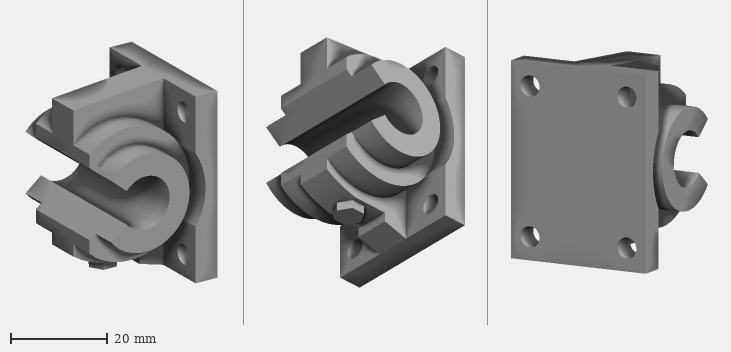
import cadquery as cq
import math

width = 32.0
depth = 28.0
height = 42.0
plate_thickness = 5.5
bore_to_back = 18.0

bore_radius = 6.0
tube_radius = 11.0
collar_radius = 15.0
collar_width = 20.0
mouth_half_angle = 39.0

rib_width = 8.0
rib_top_drop = 2.0
nose_radius = 23.1
nose_start_y = -1.75
nose_end_z = -13.9
seat_back_offset = 11.5
seat_back_rise = 1.6
seat_rise = 3.75

nut_across_corners = 6.65
nut_thickness = 1.97

hole_diameter = 4.5
hole_side_inset = 4.5
hole_end_inset = 5.0

back_y = bore_to_back
plate_front_y = back_y - plate_thickness
front_y = back_y - depth
top_z = height / 2
bottom_z = -height / 2
seat_z = bottom_z + seat_rise


def cylinder_along_x(radius, length):
    return cq.Workplane("YZ").circle(radius).extrude(length / 2, both=True)


def make_plate():
    """Mounting plate with corner holes, relieved beside the collar."""
    plate = cq.Workplane("XY").box(width, plate_thickness, height)
    plate = plate.translate((0, back_y - plate_thickness / 2, 0))
    holes = (
        cq.Workplane("XZ", origin=(0, back_y, 0))
        .rarray(width - 2 * hole_side_inset, height - 2 * hole_end_inset, 2, 2)
        .circle(hole_diameter / 2)
        .extrude(plate_thickness)
    )
    return plate.cut(holes).cut(cylinder_along_x(collar_radius, width))


def make_rib():
    """Central rib: sloping top, rounded lower nose and a flat nut seat."""
    seat_back_y = back_y - seat_back_offset
    return (
        cq.Workplane("YZ")
        .moveTo(plate_front_y, top_z)
        .lineTo(front_y, top_z - rib_top_drop)
        .lineTo(front_y, nose_end_z)
        .radiusArc((nose_start_y, seat_z), -nose_radius)
        .lineTo(seat_back_y, seat_z)
        .lineTo(seat_back_y, bottom_z + seat_back_rise)
        .lineTo(plate_front_y, bottom_z)
        .close()
        .extrude(rib_width / 2, both=True)
    )


def make_nut():
    """Hexagonal nut under the seat, with two corners in line with Y."""
    return (
        cq.Workplane("XY", origin=(0, 0, seat_z))
        .transformed(rotate=(0, 0, 90))
        .polygon(6, nut_across_corners)
        .extrude(-nut_thickness)
    )


def make_mouth():
    """Wedge opening from the bore axis through the front of the clip."""
    reach = depth
    half_opening = reach * math.tan(math.radians(mouth_half_angle))
    return (
        cq.Workplane("YZ")
        .polyline([(0, 0), (-reach, half_opening), (-reach, -half_opening)])
        .close()
        .extrude(width / 2, both=True)
    )


front_trim = cq.Workplane("XY").box(width, depth, height).translate((0, front_y - depth / 2, 0))
clip = cylinder_along_x(collar_radius, collar_width).union(cylinder_along_x(tube_radius, width))
clip = clip.cut(front_trim)

body = make_plate().union(clip).union(make_rib()).union(make_nut())
result = body.cut(cylinder_along_x(bore_radius, width)).cut(make_mouth())